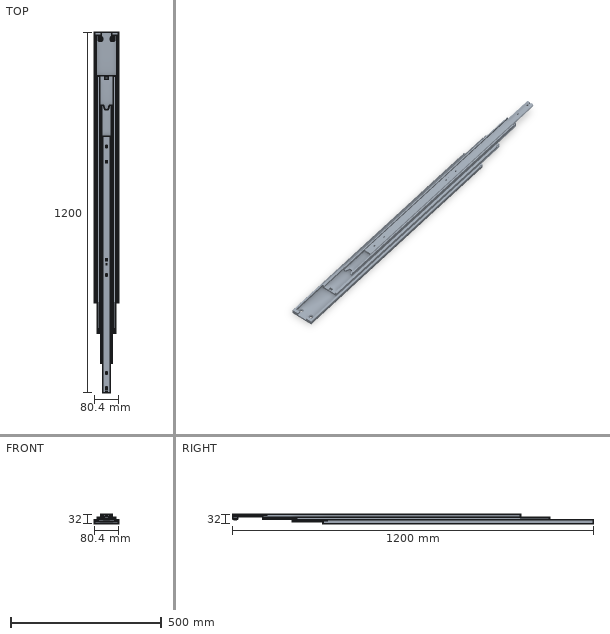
import cadquery as cq


SLIDE_LENGTH = 1200.0
STAGE_STEP = 100.0
COVER_FRONT = 0.0
INNER_FRONT = COVER_FRONT + STAGE_STEP
MIDDLE_FRONT = INNER_FRONT + STAGE_STEP
BASE_FRONT = 300.0
COVER_BACK = 855.0
INNER_BACK = 958.0
MIDDLE_BACK = 1055.0

SLIDE_HEIGHT = 32.0
BASE_TOP = 15.0
BASE_FLOOR = 6.6
MIDDLE_BOTTOM = 7.0
MIDDLE_FLOOR = 15.0
MIDDLE_TOP = 22.0
INNER_BOTTOM = 15.0
INNER_FLOOR = 22.0
COVER_BOTTOM = 24.0

BASE_HALF = 40.2
BASE_INSIDE = 34.0
MIDDLE_HALF = 30.6
MIDDLE_INSIDE = 23.0
INNER_HALF = 19.8
INNER_INSIDE = 16.2
COVER_HALF = 12.6
BASE_ROUNDING = 1.0

TRACK_DEPTH = 3.0

NOTCH_OFFSET = 5.0
NOTCH_LENGTH = 10.0
NOTCH_DEPTH = 2.0
NOTCH_HEIGHT = 4.0

MOUNT_X = 20.0
MOUNT_FROM_BACK = 23.0
MOUNT_DIAMETER = 7.0
MOUNT_SINK_DIAMETER = 15.0
BLOCK_LENGTH = 12.0
BLOCK_INSIDE = 18.0
BLOCK_CHAMFER = 2.0

LATCH_WIDTH = 12.0
LATCH_FROM_BACK = 2.0
LATCH_LENGTH = 10.0
MOUTH_WIDTH = 22.0
MOUTH_END_WIDTH = 10.0
MOUTH_LENGTH = 15.0

HOLE_WIDTH = 5.0
HOLE_LENGTH = 7.0
HOLE_PITCH = 50.0
PAIR_PITCH = 377.0
PAIR_COUNT = 3
FIRST_HOLE = 15.0
PILOT_DIAMETER = 2.0
PILOT_Y = 428.0
BUMPER_RADIUS = 9.0
BUMPER_LENGTH = 10.0
BUMPER_TIP_LENGTH = 2.0
BUMPER_TIP_RADIUS = 4.0
END_SLOT_WIDTH = 5.0
END_SLOT_LENGTH = 6.0


def box(x_range, y_range, z_range):
    """Box between the given pairs of coordinates."""
    (x0, x1), (y0, y1), (z0, z1) = x_range, y_range, z_range
    return cq.Workplane("XY").box(x1 - x0, y1 - y0, z1 - z0, centered=False).translate((x0, y0, z0))


def extrude_rail(outline, front, back):
    """Mirror the right half of an XZ cross-section and run it from front to back."""
    half = cq.Workplane("XZ", origin=(0, front, 0)).polyline(outline).close().extrude(front - back)
    return half.union(half.mirror("YZ"))


def track(half_width, bottom, top):
    """Points of a V-shaped ball track, from its bottom edge to its top edge."""
    return [(half_width, bottom), (half_width - TRACK_DEPTH, (bottom + top) / 2), (half_width, top)]


def tracked_channel(front, back, bottom, floor, top, half, inside, track_top):
    """U-shaped rail with a ball track low on the outside of each wall."""
    outer_side = track(half, bottom, track_top)
    outline = [(0, bottom), *outer_side, (half, top), (inside, top), (inside, floor), (0, floor)]
    return extrude_rail(outline, front, back)


def cut_stop_notches(rail, front, half, top):
    """Notch the outside of both side walls near the front end."""
    y_range = (front + NOTCH_OFFSET, front + NOTCH_OFFSET + NOTCH_LENGTH)
    notch = box((half - NOTCH_DEPTH, half), y_range, (top - NOTCH_HEIGHT, top))
    return rail.cut(notch).cut(notch.mirror("YZ"))


def make_corner_block():
    """Block in the back right corner of the base, with a bevel along its front edge."""
    block = box(
        (BLOCK_INSIDE, BASE_INSIDE),
        (SLIDE_LENGTH - BLOCK_LENGTH, SLIDE_LENGTH),
        (BASE_FLOOR, BASE_TOP),
    )
    return block.faces("<Y").edges(">Z").chamfer(BLOCK_CHAMFER)


def make_mount_hole(x):
    """Cutter for a countersunk hole through the base floor."""
    at = cq.Workplane("XY", origin=(x, SLIDE_LENGTH - MOUNT_FROM_BACK, BASE_FLOOR))
    through = at.circle(MOUNT_DIAMETER / 2).extrude(-BASE_FLOOR)
    sink_depth = (MOUNT_SINK_DIAMETER - MOUNT_DIAMETER) / 2
    sink = at.circle(MOUNT_SINK_DIAMETER / 2).workplane(offset=-sink_depth).circle(MOUNT_DIAMETER / 2).loft()
    return through.union(sink)


def make_base():
    outline = [
        (0, 0),
        (BASE_HALF, 0),
        (BASE_HALF, BASE_TOP),
        (BASE_INSIDE, BASE_TOP),
        (BASE_INSIDE, BASE_FLOOR),
        (0, BASE_FLOOR),
    ]
    rail = extrude_rail(outline, BASE_FRONT, SLIDE_LENGTH)
    for side in ("<X", ">X"):
        rail = rail.faces(side).edges("|Y").fillet(BASE_ROUNDING)
    rail = cut_stop_notches(rail, BASE_FRONT, BASE_HALF, BASE_TOP)
    block = make_corner_block()
    rail = rail.union(block).union(block.mirror("YZ"))
    for x in (-MOUNT_X, MOUNT_X):
        rail = rail.cut(make_mount_hole(x))
    return rail


def make_middle_rail():
    rail = tracked_channel(MIDDLE_FRONT, MIDDLE_BACK, MIDDLE_BOTTOM, MIDDLE_FLOOR, MIDDLE_TOP,
                           MIDDLE_HALF, MIDDLE_INSIDE, BASE_TOP)
    rail = cut_stop_notches(rail, MIDDLE_FRONT, MIDDLE_HALF, MIDDLE_TOP)
    latch_back = MIDDLE_BACK - LATCH_FROM_BACK
    latch = box((-LATCH_WIDTH / 2, LATCH_WIDTH / 2), (latch_back - LATCH_LENGTH, latch_back),
                (MIDDLE_BOTTOM, MIDDLE_FLOOR))
    return rail.cut(latch)


def make_inner_rail():
    rail = tracked_channel(INNER_FRONT, INNER_BACK, INNER_BOTTOM, INNER_FLOOR, SLIDE_HEIGHT,
                           INNER_HALF, INNER_INSIDE, MIDDLE_TOP)
    rail = cut_stop_notches(rail, INNER_FRONT, INNER_HALF, SLIDE_HEIGHT)
    mouth = (
        cq.Workplane("XY", origin=(0, 0, INNER_BOTTOM))
        .polyline([(-MOUTH_WIDTH / 2, INNER_BACK), (MOUTH_WIDTH / 2, INNER_BACK),
                   (MOUTH_END_WIDTH / 2, INNER_BACK - MOUTH_LENGTH),
                   (-MOUTH_END_WIDTH / 2, INNER_BACK - MOUTH_LENGTH)])
        .close().extrude(INNER_FLOOR - INNER_BOTTOM)
    )
    return rail.cut(mouth)


def make_cover_rail():
    outline = [(0, COVER_BOTTOM), *track(COVER_HALF, COVER_BOTTOM, SLIDE_HEIGHT), (0, SLIDE_HEIGHT)]
    rail = extrude_rail(outline, COVER_FRONT, COVER_BACK)
    bumper_start = cq.Workplane("XY", origin=(0, COVER_FRONT + BUMPER_RADIUS, COVER_BOTTOM))
    bumper = bumper_start.circle(BUMPER_RADIUS).extrude(-BUMPER_LENGTH)
    bumper = bumper.faces("<Z").chamfer(BUMPER_TIP_LENGTH, BUMPER_RADIUS - BUMPER_TIP_RADIUS)
    rail = rail.union(bumper)
    first_holes = [FIRST_HOLE + i * PAIR_PITCH for i in range(PAIR_COUNT)]
    top = cq.Workplane("XY", origin=(0, 0, SLIDE_HEIGHT))
    holes = (
        top.pushPoints([(0, y + dy) for y in first_holes for dy in (0, HOLE_PITCH)])
        .slot2D(HOLE_LENGTH, HOLE_WIDTH, 90).extrude(COVER_BOTTOM - SLIDE_HEIGHT)
    )
    pilot = top.center(0, PILOT_Y).circle(PILOT_DIAMETER / 2).extrude(COVER_BOTTOM - SLIDE_HEIGHT)
    end_slot = box(
        (-END_SLOT_WIDTH / 2, END_SLOT_WIDTH / 2),
        (COVER_FRONT, COVER_FRONT + END_SLOT_LENGTH),
        (COVER_BOTTOM, SLIDE_HEIGHT),
    )
    return rail.cut(holes).cut(pilot).cut(end_slot)


base_rail = make_base()
middle_rail = make_middle_rail()
inner_rail = make_inner_rail()
cover_rail = make_cover_rail()

result = cq.Compound.makeCompound(
    [base_rail.val(), middle_rail.val(), inner_rail.val(), cover_rail.val()]
)